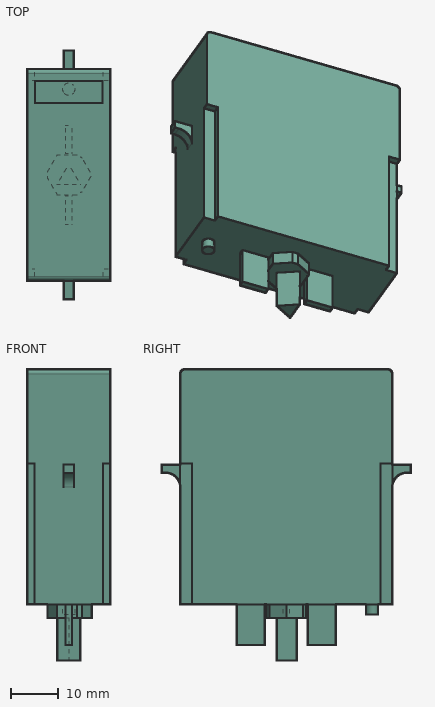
import cadquery as cq
import math

total_height = 61.3
width = 17.5
span_over_latches = 52.4

housing_depth = 44.6
housing_bottom = 11.85
top_edge_radius = 1.0

step_width = 1.55
step_depth = 2.5
step_top = 41.45

label_width = 14.2
label_depth = 4.65
label_center_y = 17.4
label_recess = 0.1

latch_width = 2.15
latch_top = 41.2
latch_thickness = 1.7
latch_fillet = 3.0

blade_thickness = 1.4
blade_inner_y = 4.5
blade_outer_y = 10.4
blade_bottom = 3.25

key_radius = 4.85
key_corner_cut = 0.35
key_base_bottom = 8.95

key_pin_side = 4.9
key_pin_front_y = -2.0

locator_diameter = 2.6
locator_y = 18.0
locator_bottom = 9.7

half_width = width / 2
half_depth = housing_depth / 2


def block(x_range, y_range, z_range):
    """Axis-aligned box from its lower and upper limits."""
    return cq.Workplane("XY").box(
        x_range[1] - x_range[0],
        y_range[1] - y_range[0],
        z_range[1] - z_range[0],
        centered=False,
    ).translate((x_range[0], y_range[0], z_range[0]))


def make_housing():
    """Housing with rounded top edges, stepped vertical edges and label recess."""
    housing = block((-half_width, half_width), (-half_depth, half_depth), (housing_bottom, total_height))
    housing = housing.faces(">Z").edges("|X").fillet(top_edge_radius)
    for x_sign in (-1, 1):
        for y_sign in (-1, 1):
            x_limits = sorted((x_sign * half_width, x_sign * (half_width - step_width)))
            y_limits = sorted((y_sign * half_depth, y_sign * (half_depth - step_depth)))
            housing = housing.cut(block(x_limits, y_limits, (housing_bottom, step_top)))
    label = (
        cq.Workplane("XY", origin=(0, label_center_y, total_height))
        .rect(label_width, label_depth)
        .extrude(-label_recess)
    )
    return housing.cut(label)


def make_latch():
    """Tab on the +Y side, blended into the housing by a concave arc below."""
    tip_y = span_over_latches / 2
    underside = latch_top - latch_thickness
    arc_center_y = half_depth + latch_fillet
    arc_center_z = underside - latch_fillet
    arc_offset = latch_fillet * math.sqrt(0.5)
    return (
        cq.Workplane("YZ")
        .moveTo(half_depth - step_depth, latch_top)
        .lineTo(tip_y, latch_top)
        .lineTo(tip_y, underside)
        .lineTo(arc_center_y, underside)
        .threePointArc((arc_center_y - arc_offset, arc_center_z + arc_offset), (half_depth, arc_center_z))
        .lineTo(half_depth - step_depth, arc_center_z)
        .close()
        .extrude(latch_width / 2, both=True)
    )


def make_blade():
    """Flat contact blade on the +Y side of the key."""
    return block(
        (-blade_thickness / 2, blade_thickness / 2),
        (blade_inner_y, blade_outer_y),
        (blade_bottom, housing_bottom),
    )


def make_key():
    """Hexagonal base carrying a triangular pin."""
    base_height = housing_bottom - key_base_bottom
    base = cq.Workplane("XY").polygon(6, 2 * key_radius).extrude(base_height)
    for angle in (60, 180, 300):
        corner = block(
            (key_radius - key_corner_cut, key_radius), (-key_radius, key_radius), (0, base_height)
        )
        base = base.cut(corner.rotate((0, 0, 0), (0, 0, 1), angle))
    base = base.translate((0, 0, key_base_bottom))

    apex_y = key_pin_front_y + key_pin_side * math.sqrt(3) / 2
    pin = (
        cq.Workplane("XY")
        .polyline([
            (-key_pin_side / 2, key_pin_front_y),
            (key_pin_side / 2, key_pin_front_y),
            (0, apex_y),
        ])
        .close()
        .extrude(key_base_bottom)
    )
    return base.union(pin)


def make_locator():
    """Round locating pin under the +Y end of the housing."""
    return (
        cq.Workplane("XY", origin=(0, locator_y, locator_bottom))
        .circle(locator_diameter / 2)
        .extrude(housing_bottom - locator_bottom)
    )


result = make_housing().union(make_key()).union(make_locator())
for side_feature in (make_latch(), make_blade()):
    result = result.union(side_feature).union(side_feature.mirror("XZ"))